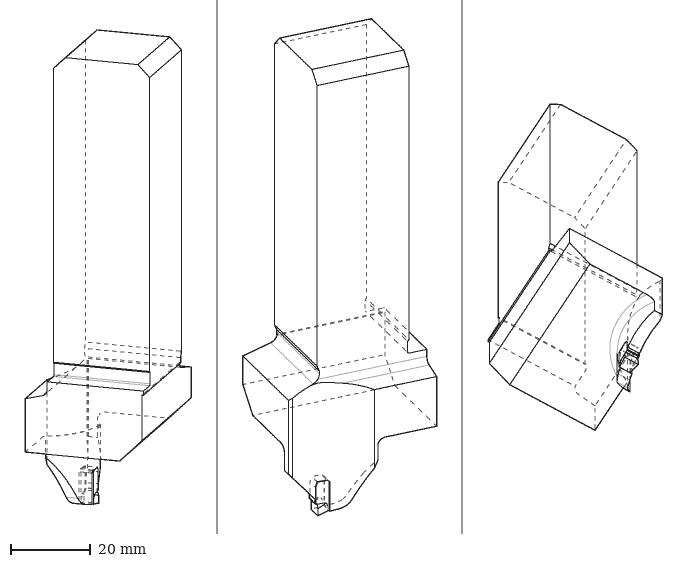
import cadquery as cq
import math


WIDTH_X = 31.2
DEPTH_Y = 39.3
HEIGHT_Z = 124.0

SHANK_SIDE = 25.4
SHANK_LEFT = WIDTH_X - SHANK_SIDE
SHANK_FRONT = 5.0
SHANK_BACK = SHANK_FRONT + SHANK_SIDE
SHANK_END_CHAMFER = 3.1

RELIEF_DEPTH = 0.4
FRONT_RELIEF_TOP = 43.9
BACK_RELIEF_DEPTH = 0.6
BACK_RELIEF_TOP = 41.9
BACK_RELIEF_FLOOR_TOP = 40.4

HEAD_BOTTOM = 21.2
HEAD_CORNER_CHAMFER = 6.0
HEAD_STEP_DEPTH = 0.4
HEAD_RIGHT = WIDTH_X - HEAD_STEP_DEPTH
HEAD_STEP_Z = 39.0
PAD_TOP = 40.2
LEDGE_OUTER_Z = 35.2
LEDGE_SLOPE = math.tan(math.radians(15))
LEFT_LEDGE_FILLET = 1.9
BACK_LEDGE_FILLET = 2.5
PAD_FILLET = 0.4

GROOVE_AXIS_Y = 30.3
INNER_RADIUS = 18.0
INNER_AXIS_X = -12.4
BACK_FLAT_Y = 38.2
BACK_FLAT_X = INNER_AXIS_X + math.sqrt(INNER_RADIUS**2 - (BACK_FLAT_Y - GROOVE_AXIS_Y) ** 2)
OUTER_RADIUS = 15.4
OUTER_AXIS_X = -6.3
ROOT_FILLET = 1.9

BLADE_FRONT_Y = 16.1
BLADE_FRONT_Z = 15.4
BLADE_FRONT_SLOPE = math.tan(math.radians(64))
BLADE_NOSE_RADIUS = 4.5
CLEARANCE_SLOPE = math.tan(math.radians(11))
JAW_NOSE_Y = 31.1
JAW_NOSE_BOTTOM = 3.5
JAW_NOSE_TOP = 4.8
JAW_BACK_Z = 14.4

RAKE_Y = 30.4
INSERT_FRONT_Y = 27.0
INSERT_CREST_Y = 30.9
INSERT_CREST_BOTTOM = 3.5
INSERT_CREST_TOP = 8.0
INSERT_TOP = 9.4
INSERT_CORNER_CHAMFER = 0.6
INSERT_WIDTH = 3.2
INSERT_LEFT = 5.8
INSERT_RIGHT = INSERT_LEFT + INSERT_WIDTH
TIP_OVERHANG = 0.4
TIP_FRONT_Y = 27.5
TIP_TOP = 3.1
TIP_SHOULDER_Z = 2.0
TIP_CORNER_RADIUS = 1.0


def underside_z(y):
    """Height of the sloping underside shared by blade and insert."""
    return CLEARANCE_SLOPE * (RAKE_Y - y)


def extrude_along_y(points):
    """Prism with an XZ outline, through the whole depth."""
    return cq.Workplane("XZ").polyline(points).close().extrude(-DEPTH_Y)


def extrude_along_x(points, x_start, x_end):
    """Prism with a YZ outline between two X positions."""
    return cq.Workplane("YZ", origin=(x_start, 0, 0)).polyline(points).close().extrude(x_end - x_start)


def fillet_at(body, point, radius):
    """Round the one edge whose middle is nearest to a point."""
    return body.edges(cq.selectors.NearestToPointSelector(point)).fillet(radius)


def make_shank_and_head():
    """Common volume of a prism along Y and a prism along X."""
    ledge_left_top = LEDGE_OUTER_Z + LEDGE_SLOPE * SHANK_LEFT
    along_y = extrude_along_y([
        (0, HEAD_BOTTOM),
        (HEAD_RIGHT - HEAD_CORNER_CHAMFER, HEAD_BOTTOM),
        (HEAD_RIGHT, HEAD_BOTTOM + HEAD_CORNER_CHAMFER),
        (HEAD_RIGHT, HEAD_STEP_Z),
        (WIDTH_X, HEAD_STEP_Z),
        (WIDTH_X, HEIGHT_Z - SHANK_END_CHAMFER),
        (WIDTH_X - SHANK_END_CHAMFER, HEIGHT_Z),
        (SHANK_LEFT + SHANK_END_CHAMFER, HEIGHT_Z),
        (SHANK_LEFT, HEIGHT_Z - SHANK_END_CHAMFER),
        (SHANK_LEFT, ledge_left_top),
        (0, LEDGE_OUTER_Z),
    ])
    along_y = fillet_at(along_y, (SHANK_LEFT, DEPTH_Y / 2, ledge_left_top), LEFT_LEDGE_FILLET)

    front_relief_y = SHANK_FRONT + RELIEF_DEPTH
    back_relief_y = SHANK_BACK - BACK_RELIEF_DEPTH
    ledge_back_top = LEDGE_OUTER_Z + LEDGE_SLOPE * (DEPTH_Y - back_relief_y)
    along_x = extrude_along_x(
        [
            (0, HEAD_BOTTOM),
            (DEPTH_Y, HEAD_BOTTOM),
            (DEPTH_Y, LEDGE_OUTER_Z),
            (back_relief_y, ledge_back_top),
            (back_relief_y, BACK_RELIEF_FLOOR_TOP),
            (SHANK_BACK, BACK_RELIEF_TOP),
            (SHANK_BACK, HEIGHT_Z),
            (SHANK_FRONT, HEIGHT_Z),
            (SHANK_FRONT, FRONT_RELIEF_TOP),
            (front_relief_y, FRONT_RELIEF_TOP - RELIEF_DEPTH),
            (front_relief_y, PAD_TOP),
            (0, PAD_TOP),
        ],
        0,
        WIDTH_X,
    )
    along_x = fillet_at(along_x, (WIDTH_X / 2, back_relief_y, ledge_back_top), BACK_LEDGE_FILLET)
    along_x = fillet_at(along_x, (WIDTH_X / 2, front_relief_y, PAD_TOP), PAD_FILLET)
    return along_y.intersect(along_x)


def make_blade():
    """Convex stalk under the head, flared at its root and trimmed to the blade outline."""
    flare_radius = OUTER_RADIUS + ROOT_FILLET
    flare_bottom = HEAD_BOTTOM - ROOT_FILLET
    arc_offset = ROOT_FILLET * (1 - math.sqrt(0.5))
    stalk = (
        cq.Workplane("XZ", origin=(OUTER_AXIS_X, GROOVE_AXIS_Y, 0))
        .lineTo(OUTER_RADIUS, 0)
        .lineTo(OUTER_RADIUS, flare_bottom)
        .threePointArc((OUTER_RADIUS + arc_offset, HEAD_BOTTOM - arc_offset), (flare_radius, HEAD_BOTTOM))
        .lineTo(0, HEAD_BOTTOM)
        .close()
        .revolve(360, (0, 0, 0), (0, 1, 0))
    )

    root_front_y = BLADE_FRONT_Y - (HEAD_BOTTOM - BLADE_FRONT_Z) / BLADE_FRONT_SLOPE
    nose_y = (BLADE_FRONT_Z + BLADE_FRONT_SLOPE * BLADE_FRONT_Y - CLEARANCE_SLOPE * RAKE_Y) / (
        BLADE_FRONT_SLOPE - CLEARANCE_SLOPE
    )
    nose_z = underside_z(nose_y)
    outline = extrude_along_x(
        [
            (root_front_y, HEAD_BOTTOM),
            (nose_y, nose_z),
            (RAKE_Y, 0),
            (RAKE_Y, TIP_TOP),
            (JAW_NOSE_Y, JAW_NOSE_BOTTOM),
            (JAW_NOSE_Y, JAW_NOSE_TOP),
            (DEPTH_Y, JAW_BACK_Z),
            (DEPTH_Y, HEAD_BOTTOM),
        ],
        0,
        WIDTH_X,
    )
    outline = fillet_at(outline, (WIDTH_X / 2, nose_y, nose_z), BLADE_NOSE_RADIUS)
    return stalk.intersect(outline)


def make_inner_clearance():
    """Volume removed from the -X side: a vertical cylinder, ending in a narrow flat at the back."""
    flat = cq.Workplane("XY").box(BACK_FLAT_X, DEPTH_Y - BACK_FLAT_Y, HEIGHT_Z, centered=False)
    flat = flat.translate((0, BACK_FLAT_Y, 0))
    cylinder_limit = cq.Workplane("XY").box(WIDTH_X, BACK_FLAT_Y, HEIGHT_Z, centered=False)
    cylinder = cq.Workplane("XY").center(INNER_AXIS_X, GROOVE_AXIS_Y).circle(INNER_RADIUS).extrude(HEIGHT_Z)
    return cylinder.intersect(cylinder_limit).union(flat)


def make_insert_shank(x_start, x_end):
    """Insert without its wider cutting tip; also the shape of its seat in the blade."""
    return extrude_along_x(
        [
            (INSERT_FRONT_Y, underside_z(INSERT_FRONT_Y)),
            (RAKE_Y, 0),
            (RAKE_Y, TIP_TOP),
            (INSERT_CREST_Y, INSERT_CREST_BOTTOM),
            (INSERT_CREST_Y, INSERT_CREST_TOP),
            (RAKE_Y, INSERT_TOP),
            (INSERT_FRONT_Y + INSERT_CORNER_CHAMFER, INSERT_TOP),
            (INSERT_FRONT_Y, INSERT_TOP - INSERT_CORNER_CHAMFER),
        ],
        x_start,
        x_end,
    )


def make_insert_tip():
    """Cutting tip, widest at the rake face, narrowing to the insert width in front and at the top."""
    tip_left = INSERT_LEFT - TIP_OVERHANG
    tip_right = INSERT_RIGHT + TIP_OVERHANG
    plan = [(tip_left, RAKE_Y), (tip_right, RAKE_Y), (INSERT_RIGHT, TIP_FRONT_Y), (INSERT_LEFT, TIP_FRONT_Y)]
    taper = cq.Workplane("XY").polyline(plan).close().extrude(TIP_TOP)
    side = extrude_along_x(
        [(TIP_FRONT_Y, underside_z(TIP_FRONT_Y)), (RAKE_Y, 0), (RAKE_Y, TIP_TOP), (TIP_FRONT_Y, TIP_TOP)],
        tip_left,
        tip_right,
    )
    side = fillet_at(side, ((tip_left + tip_right) / 2, TIP_FRONT_Y, TIP_TOP), TIP_CORNER_RADIUS)
    front = extrude_along_y([
        (tip_left, 0),
        (tip_right, 0),
        (tip_right, TIP_SHOULDER_Z),
        (INSERT_RIGHT, TIP_TOP),
        (INSERT_LEFT, TIP_TOP),
        (tip_left, TIP_SHOULDER_Z),
    ])
    return taper.intersect(side).intersect(front)


def make_holder():
    seat = make_insert_shank(0, WIDTH_X)
    return make_shank_and_head().union(make_blade()).cut(make_inner_clearance()).cut(seat)


def make_insert():
    return make_insert_shank(INSERT_LEFT, INSERT_RIGHT).union(make_insert_tip())


holder = make_holder()
insert = make_insert()

result = cq.Compound.makeCompound([holder.val(), insert.val()])